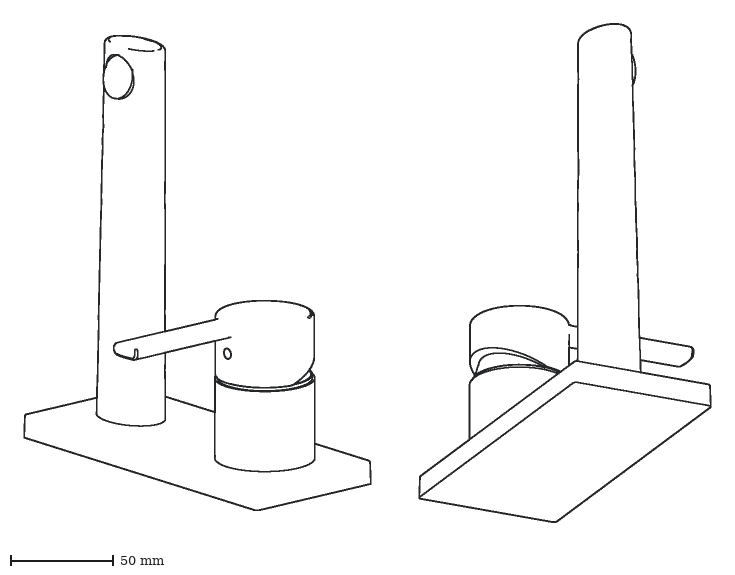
import cadquery as cq
import math

plate_length = 175.0
plate_width = 74.9
plate_height = 11.7
plate_draft = 2.0
plate_corner_radius = 1.8
plate_top_fillet = 1.2

spout_x = -50.0
spout_top_z = 202.4
spout_base_length = 39.3
spout_base_depth = 29.5
spout_top_length = 37.2
spout_top_depth = 22.7
spout_top_y = 2.8
crown_height = 1.6
spout_rim_fillet = 2.0

outlet_y = -8.3
outlet_z = 185.5
outlet_lean = 15.0
outlet_bore_radius = 11.0
outlet_radius = 10.5
outlet_depth = 8.0

mixer_x = 49.5
mixer_y = 0.6
body_radius = 24.5
body_top_z = 52.5
groove_radius = 23.3
head_radius = 24.3
head_bottom_z = 54.2
head_top_z = 85.5
top_edge_fillet = 2.0

undercut_edge_z = 65.5
undercut_slope = 0.41
core_bottom_radius = 22.7
core_taper = 0.3

lever_end_y = -91.3
lever_width = 17.5
lever_thickness = 5.9
lever_root_fillet = 5.0
lever_end_bow = 1.2
lever_side_fillet = 2.8
lever_tip_chamfer = 1.0

mark_z = 69.2
mark_radius = 2.6
mark_depth = 0.2


def cylinder(radius, bottom_z, top_z):
    """Upright cylinder on the mixer axis."""
    base = cq.Workplane("XY", origin=(mixer_x, mixer_y, bottom_z))
    return base.circle(radius).extrude(top_z - bottom_z)


def make_plate():
    plate = (
        cq.Workplane("XY")
        .sketch()
        .rect(plate_length, plate_width)
        .vertices()
        .fillet(plate_corner_radius)
        .finalize()
        .extrude(plate_height, taper=plate_draft)
    )
    return plate.faces(">Z").edges().fillet(plate_top_fillet)


def make_crown():
    """Shallow oval dome inside the rounded rim: a round cap squeezed along Y."""
    half_length = spout_top_length / 2 - spout_rim_fillet
    half_depth = spout_top_depth / 2 - spout_rim_fillet
    cap_radius = (half_length**2 + crown_height**2) / (2 * crown_height)
    cap = (
        cq.Workplane("XY")
        .sphere(cap_radius)
        .translate((0, 0, crown_height - cap_radius))
        .intersect(cq.Workplane("XY").circle(2 * half_length).extrude(2 * crown_height))
    )
    squeeze = cq.Matrix([[1, 0, 0, 0], [0, half_depth / half_length, 0, 0], [0, 0, 1, 0]])
    crown = cq.Workplane(cap.val().transformGeometry(squeeze))
    return crown.translate((spout_x, spout_top_y, spout_top_z - crown_height))


def make_spout():
    column_top_z = spout_top_z - crown_height
    column = (
        cq.Workplane("XY", origin=(spout_x, 0, 0))
        .ellipse(spout_base_length / 2, spout_base_depth / 2)
        .workplane(offset=column_top_z)
        .center(0, spout_top_y)
        .ellipse(spout_top_length / 2, spout_top_depth / 2)
        .loft()
    )
    column = column.faces(">Z").edges().fillet(spout_rim_fillet)
    spout = column.union(make_crown())

    lean = math.radians(outlet_lean)
    face = cq.Workplane(
        cq.Plane(
            origin=(spout_x, outlet_y, outlet_z),
            xDir=(1, 0, 0),
            normal=(0, -math.cos(lean), math.sin(lean)),
        )
    )
    bore = face.circle(outlet_bore_radius).extrude(outlet_depth)
    disc = face.circle(outlet_radius).extrude(-outlet_depth)
    return spout.cut(bore).union(disc)


def make_lever():
    half_width = lever_width / 2
    bottom_z = head_top_z - lever_thickness
    corner_y = lever_end_y + lever_end_bow
    bar = (
        cq.Workplane("XY", origin=(mixer_x, 0, bottom_z))
        .moveTo(-half_width, mixer_y)
        .lineTo(-half_width, corner_y)
        .threePointArc((0, lever_end_y), (half_width, corner_y))
        .lineTo(half_width, mixer_y)
        .close()
        .extrude(lever_thickness)
    )
    bar = bar.faces("<Z").edges("|Y").fillet(lever_side_fillet)
    return bar.faces("<Y").edges("<Z").chamfer(lever_tip_chamfer)


def make_undercut():
    """Wedge below a sloping plane, outside the tapered core of the head."""
    back_y = head_radius
    slope_run = (undercut_edge_z - head_bottom_z) / undercut_slope
    wedge = (
        cq.Workplane("YZ", origin=(mixer_x, mixer_y, 0))
        .moveTo(back_y, undercut_edge_z)
        .lineTo(back_y - slope_run, head_bottom_z)
        .lineTo(back_y, head_bottom_z)
        .close()
        .extrude(head_radius, both=True)
    )
    core_height = undercut_edge_z - head_bottom_z
    core_angle = math.degrees(math.atan(core_taper))
    core_base = cq.Workplane("XY", origin=(mixer_x, mixer_y, head_bottom_z))
    core = core_base.circle(core_bottom_radius).extrude(core_height, taper=core_angle)
    return wedge.cut(core)


def make_head():
    head = cylinder(head_radius, head_bottom_z, head_top_z).union(make_lever())
    root_margin = 2.0
    top_margin = 0.2
    root = cq.selectors.BoxSelector(
        (mixer_x - lever_width, mixer_y - head_radius - root_margin, head_top_z - lever_thickness - root_margin),
        (mixer_x + lever_width, mixer_y - head_radius / 2, head_top_z - top_margin),
    )
    head = head.edges(root).fillet(lever_root_fillet)
    head = head.faces(">Z").edges().fillet(top_edge_fillet)
    mark_start_y = mixer_y - head_radius + mark_depth
    mark = (
        cq.Workplane("XZ", origin=(mixer_x, mark_start_y, mark_z))
        .circle(mark_radius)
        .extrude(2 * mark_depth)
    )
    return head.cut(make_undercut()).cut(mark)


body = cylinder(body_radius, plate_height, body_top_z)
neck = cylinder(groove_radius, body_top_z, head_bottom_z)
result = make_plate().union(make_spout()).union(body).union(neck).union(make_head())